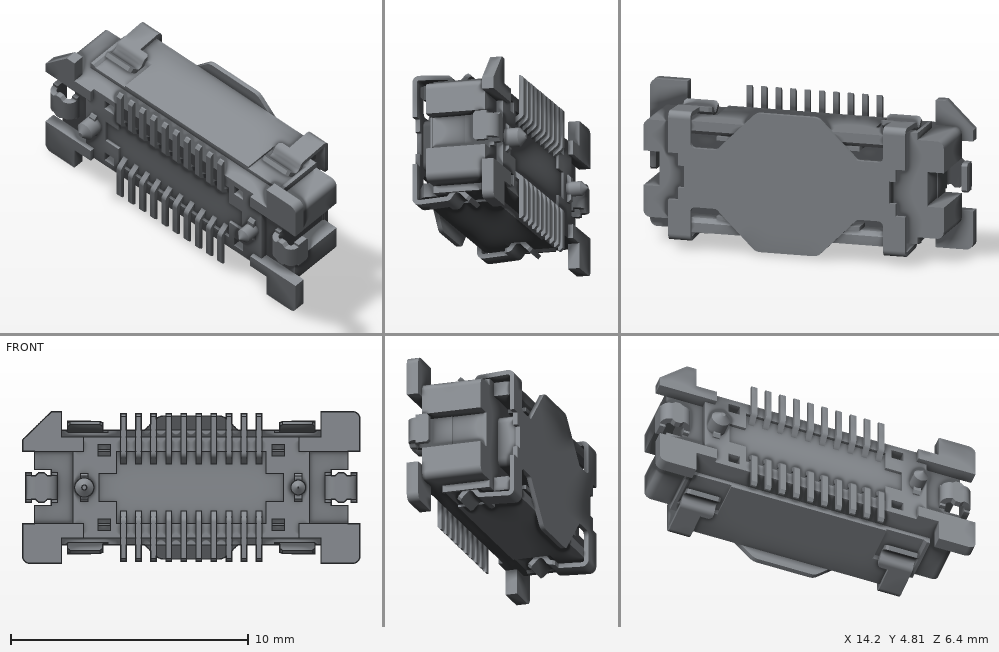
import cadquery as cq
import math


pad_thick = 0.51
base_front = 0.21
body_front = 1.02
body_back = 3.13
cap_back = 4.14
metal_thick = 0.2
cap_front = cap_back - metal_thick
solder_face = -0.09

half_length = 7.11
half_height = 3.2
body_half_x = 5.46
body_half_z = 2.42
base_half_z = 2.12
ear_half_x = 6.61
ear_round = 0.3
ear_step_x = 4.99
pad_inner_z = 1.52
pad_foot_x = 4.54
pad_round = 0.31
key_x = 5.89
key_z = 2.0

slot_half_z = 0.75
slot_floor_x = 5.9
slot_pocket_x = 5.86
slot_pocket_front = 1.62
slot_pocket_back = 3.06

recess_depth = 0.13
recess_half_x = 3.14
recess_half_z = 1.52
recess_arm_half_x = 3.88
recess_arm_half_z = 0.58
window_x = (3.41, 3.94)
window_z = (1.34, 1.82)
window_depth = 0.57
window_bar_z = (1.52, 1.6)
window_bar_depth = 0.35

wall_half_x = 4.9
wall_inner_z = 1.82
liner_half_x = 3.14
wall_end_chamfer = 0.21
wall_mouth_chamfer = 0.18
liner_inner_z = 1.65
tongue_half_x = 4.41
tongue_half_z = 1.1
tongue_round = 0.31
tongue_chamfer = 0.07

peg_x = 4.51
large_peg_diameter = 0.81
small_peg_diameter = 0.63
peg_shoulder = -0.4
peg_tip = -0.67
large_tip_diameter = 0.21
small_tip_diameter = 0.03
peg_rib_half_x = 0.15
peg_rib_half_z = 0.6
peg_rib_height = 0.17
peg_rib_chamfer = 0.11

lead_count = 10
lead_span = 5.72
lead_pitch = lead_span / (lead_count - 1)
lead_width = 0.24
lead_tip_z = 3.11
lead_knee_z = 1.38
lead_tip_chamfer = 0.13
lead_bend = 0.14
lead_root = (0.58, 0.94)

clip_outer_x = 6.98
clip_inner_x = 5.65
clip_top = 0.94
clip_thick = 0.25
clip_bend = 0.28
clip_half_z = 0.63
clip_neck_half_z = 0.5
clip_bend_length = 0.41
clip_bend_top = 0.34
clip_chamfer = 0.1
clip_neck_slope = 0.14

cap_half_x = 5.22
cap_half_z = 1.28
cap_inner_round = 0.21
cap_notch_depths = (0.43, 0.71)
cap_notch_half_widths = (1.02, 0.48)
flap_half_x = 1.37
flap_half_z = 3.01
flap_root_x = flap_half_x + flap_half_z - cap_half_z
flap_round = 0.48
arm_inner_x = 4.24
latch_inner_x = 3.73
latch_shoulder = 2.79
latch_chamfer = 0.11
arm_bends = (0.18, 0.14, 0.27)
arm_top_z = 2.72
arm_knee = (2.55, 2.63)
latch_valley = (2.2, 2.15)
latch_tip = (1.64, 2.72)

hollow_x = (3.5, 5.32)
hollow_back = 2.69
hollow_depth = 0.1
hollow_slope = 0.14


def block(x, y, z):
    """Box spanning the given (low, high) pairs."""
    size = (x[1] - x[0], y[1] - y[0], z[1] - z[0])
    return cq.Workplane("XY").box(*size, centered=False).translate((x[0], y[0], z[0]))


def plate(points, y_low, y_high):
    """Outline of (x, z) points extruded from y_low to y_high."""
    sketch = cq.Workplane("XZ", origin=(0, y_high, 0)).polyline(points).close()
    return sketch.extrude(y_high - y_low)


def both_x(shape):
    return shape.union(shape.mirror("YZ"))


def both_z(shape):
    return shape.union(shape.mirror("XY"))


def bent_strip(plane, path, thick, bends):
    """Closed profile of sheet metal along a centreline path, with a bend radius per corner."""
    steps = []
    for start, end in zip(path, path[1:]):
        length = math.dist(start, end)
        steps.append(((end[0] - start[0]) / length, (end[1] - start[1]) / length))

    def side(offset):
        def shifted(point, step, along):
            across = point[0] + step[0] * along - step[1] * offset
            up = point[1] + step[1] * along + step[0] * offset
            return across, up

        arcs = []
        for corner, bend, before, after in zip(path[1:-1], bends, steps, steps[1:]):
            cross = before[0] * after[1] - before[1] * after[0]
            turn = math.acos(before[0] * after[0] + before[1] * after[1])
            setback = bend * math.tan(turn / 2)
            chord = 2 * math.sin(turn / 2)
            inward = ((after[0] - before[0]) / chord, (after[1] - before[1]) / chord)
            radius = bend - math.copysign(offset, cross * offset)
            to_mid = bend / math.cos(turn / 2) - radius
            mid = (corner[0] + inward[0] * to_mid, corner[1] + inward[1] * to_mid)
            arcs.append((shifted(corner, before, -setback), mid, shifted(corner, after, setback)))
        return shifted(path[0], steps[0], 0), arcs, shifted(path[-1], steps[-1], 0)

    left_start, left_arcs, left_end = side(thick / 2)
    right_start, right_arcs, right_end = side(-thick / 2)
    profile = cq.Workplane(plane).moveTo(*left_start)
    for first, mid, last in left_arcs:
        profile = profile.lineTo(*first).threePointArc(mid, last)
    profile = profile.lineTo(*left_end).lineTo(*right_end)
    for first, mid, last in reversed(right_arcs):
        profile = profile.lineTo(*last).threePointArc(mid, first)
    return profile.lineTo(*right_start).close()


def corner_pad(keyed):
    """Pad at the +X +Z corner, with a foot reaching along the base."""
    outer = block((body_half_x, half_length), (0, pad_thick), (pad_inner_z, half_height))
    if keyed:
        key = [(key_x, half_height), (half_length, half_height), (half_length, key_z)]
        outer = outer.cut(plate(key, 0, pad_thick))
    else:
        outer = outer.edges("|Y and >X and >Z").fillet(pad_round)
    foot = block((pad_foot_x, body_half_x), (0, pad_thick), (pad_inner_z, base_half_z))
    return outer.union(foot)


def housing():
    base = block((-body_half_x, body_half_x), (base_front, body_front), (-base_half_z, base_half_z))
    body = block((-body_half_x, body_half_x), (body_front, body_back), (-body_half_z, body_half_z))
    ears = block((-ear_half_x, ear_half_x), (pad_thick, body_back), (-base_half_z, base_half_z))
    ears = ears.edges("|Y").fillet(ear_round)
    step = both_x(block((ear_step_x, half_length), (base_front, pad_thick), (-pad_inner_z, pad_inner_z)))
    shape = base.cut(step).union(body).union(ears)

    plain_pad = corner_pad(False)
    shape = shape.union(both_x(plain_pad.mirror("XY")))
    shape = shape.union(plain_pad).union(corner_pad(True).mirror("YZ"))

    slot_z = (-slot_half_z, slot_half_z)
    slot = block((slot_floor_x, ear_half_x), (pad_thick, body_back), slot_z)
    pocket = block((slot_pocket_x, slot_floor_x), (slot_pocket_front, slot_pocket_back), slot_z)
    return shape.cut(both_x(slot.union(pocket)))


def board_side_recess():
    y = (base_front, base_front + recess_depth)
    centre = block((-recess_half_x, recess_half_x), y, (-recess_half_z, recess_half_z))
    arms = block((-recess_arm_half_x, recess_arm_half_x), y, (-recess_arm_half_z, recess_arm_half_z))
    return centre.union(arms)


def windows():
    bottom = base_front + window_depth
    hole = block(window_x, (base_front, bottom), window_z)
    bar = block(window_x, (base_front + window_bar_depth, bottom), window_bar_z)
    return both_x(both_z(hole.cut(bar)))


def latch_hollows():
    floor_z = body_half_z - hollow_depth
    outline = [
        (hollow_x[0], body_half_z),
        (hollow_x[0], floor_z),
        (hollow_x[1] - hollow_slope, floor_z),
        (hollow_x[1], body_half_z),
    ]
    slope = [
        (body_front, body_half_z),
        (body_front, floor_z),
        (hollow_back - hollow_slope, floor_z),
        (hollow_back, body_half_z),
    ]
    hollow = plate(outline, body_front, hollow_back)
    hollow = hollow.intersect(cq.Workplane("YZ").polyline(slope).close().extrude(half_length))
    return both_x(both_z(hollow))


def mating_side():
    """Two long walls with thin liners, and the tongue between them."""
    y = (body_back, cap_front)
    wall = block((-wall_half_x, wall_half_x), y, (wall_inner_z, body_half_z))
    wall = wall.edges("|Z and >Y").chamfer(wall_end_chamfer)
    wall = wall.edges("|X and >Y and <Z").chamfer(wall_mouth_chamfer)
    liner = block((-liner_half_x, liner_half_x), y, (liner_inner_z, wall_inner_z))
    tongue = block((-tongue_half_x, tongue_half_x), y, (-tongue_half_z, tongue_half_z))
    tongue = tongue.edges("|Y").fillet(tongue_round)
    tongue = tongue.faces(">Y").chamfer(tongue_chamfer)
    return both_z(wall.union(liner)).union(tongue)


def peg(x, diameter, tip_diameter):
    """Pointed round peg with a rib across its root."""
    outline = [
        (0, body_front),
        (diameter / 2, body_front),
        (diameter / 2, peg_shoulder),
        (tip_diameter / 2, peg_tip),
        (0, peg_tip),
    ]
    pin = cq.Workplane("XY").polyline(outline).close().revolve(360, (0, 0), (0, 1))
    rib = block(
        (-peg_rib_half_x, peg_rib_half_x),
        (base_front - peg_rib_height, base_front),
        (-peg_rib_half_z, peg_rib_half_z),
    )
    rib = rib.edges("|X and <Y").chamfer(peg_rib_chamfer)
    return pin.union(rib).translate((x, 0, 0))


def lead_rows():
    lead_y = solder_face + metal_thick / 2
    path = [(lead_y, lead_tip_z), (lead_y, lead_knee_z), lead_root]
    lead = bent_strip("YZ", path, metal_thick, [lead_bend]).extrude(lead_width / 2, both=True)
    lead = lead.edges("|X and >Z and <Y").chamfer(lead_tip_chamfer)
    leads = cq.Workplane("XY")
    for index in range(lead_count):
        leads = leads.add(lead.translate((index * lead_pitch - lead_span / 2, 0, 0)))
    return both_z(leads.combine())


def solder_clip():
    """U-shaped clip at the +X end, necked where it bends."""
    outer = clip_outer_x - clip_thick / 2
    inner = clip_inner_x + clip_thick / 2
    floor = solder_face + clip_thick / 2
    path = [(outer, clip_top), (outer, floor), (inner, floor), (inner, clip_top)]
    clip = bent_strip("XY", path, clip_thick, [clip_bend, clip_bend]).extrude(clip_half_z, both=True)
    clip = clip.edges("|X and >Y").chamfer(clip_chamfer)

    clip_spread = clip_outer_x + clip_inner_x
    neck_start = clip_outer_x - clip_bend_length
    neck = plate(
        [
            (clip_outer_x, clip_neck_half_z),
            (neck_start, clip_neck_half_z),
            (neck_start - clip_neck_slope, clip_half_z),
            (clip_outer_x, clip_half_z),
        ],
        solder_face,
        clip_bend_top,
    )
    necks = both_z(neck.union(neck.mirror("YZ").translate((clip_spread, 0, 0))))
    return clip.cut(necks)


def cap_arm():
    """Arm at the +X +Z corner of the cap, ending in a wider V-shaped latch."""
    plate_y = cap_back - metal_thick / 2
    path = [(plate_y, 0), (plate_y, arm_top_z), arm_knee, latch_valley, latch_tip]
    strip = bent_strip("YZ", path, metal_thick, arm_bends).extrude(cap_half_x - latch_inner_x)
    strip = strip.translate((latch_inner_x, 0, 0))
    for x in (latch_inner_x, cap_half_x):
        tip_corner = cq.selectors.NearestToPointSelector((x, *latch_tip))
        strip = strip.edges(tip_corner).chamfer(latch_chamfer)
    relief = [
        (arm_inner_x, cap_back),
        (arm_inner_x, latch_shoulder),
        (latch_inner_x + latch_chamfer, latch_shoulder),
        (latch_inner_x, latch_shoulder - latch_chamfer),
        (latch_inner_x, cap_back),
    ]
    return strip.cut(cq.Workplane("XY").polyline(relief).close().extrude(half_height))


def pick_up_cap():
    y = (cap_front, cap_back)
    sheet = block((-cap_half_x, cap_half_x), y, (-cap_half_z, cap_half_z))
    outline = [
        (-flap_root_x, cap_half_z),
        (-flap_half_x, flap_half_z),
        (flap_half_x, flap_half_z),
        (flap_root_x, cap_half_z),
    ]
    flap = plate(outline, *y).edges("|Y and >Z").fillet(flap_round)
    cap = sheet.union(both_z(flap)).union(both_x(both_z(cap_arm())))
    for x in (-arm_inner_x, -flap_root_x, flap_root_x, arm_inner_x):
        for z in (-cap_half_z, cap_half_z):
            corner = cq.selectors.NearestToPointSelector((x, (cap_front + cap_back) / 2, z))
            cap = cap.edges("|Y").edges(corner).fillet(cap_inner_round)
    for depth, half_width in zip(cap_notch_depths, cap_notch_half_widths):
        notch = block((cap_half_x - depth, cap_half_x), y, (-half_width, half_width))
        cap = cap.cut(both_x(notch))
    return cap


connector = housing().cut(board_side_recess()).cut(windows()).cut(latch_hollows())
connector = connector.union(mating_side())
connector = connector.union(peg(-peg_x, large_peg_diameter, large_tip_diameter))
connector = connector.union(peg(peg_x, small_peg_diameter, small_tip_diameter))
connector = connector.union(lead_rows())
connector = connector.union(both_x(solder_clip()))
result = connector.union(pick_up_cap())